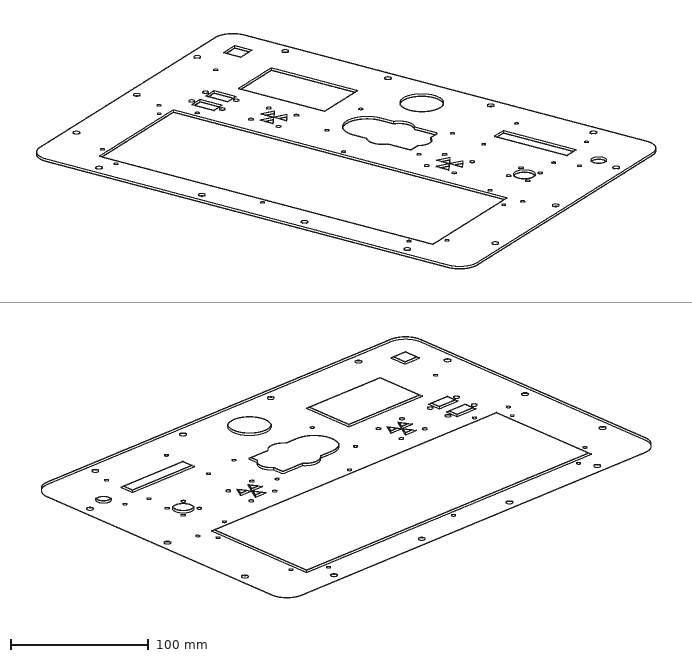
import cadquery as cq
import math

LENGTH = 378.5
WIDTH = 264.0
THICKNESS = 2.05
CORNER_RADIUS = 15.0

RIM_HOLE = 5.0
RIM_INSET = 8.0
RIM_SPAN_X = 266.7
RIM_PITCH_X = RIM_SPAN_X / 3
RIM_PITCH_Y = 80.5

WINDOW_LENGTH = 288.5
WINDOW_WIDTH = 98.7
WINDOW_Y = -57.5
WINDOW_HOLE = 2.95
WINDOW_END_HOLE = 2.85
WINDOW_HOLE_PITCH_X = 126.7
WINDOW_HOLE_OFFSET_Y = 54.0
WINDOW_END_OFFSET_X = 149.0
WINDOW_END_OFFSET_Y = 38.0

SIDE_HOLE = 2.95
SIDE_HOLE_X = 157.5
SIDE_HOLE_TOP_Y = 68.5
SIDE_HOLE_BOTTOM_Y = -7.0

SWITCH_SIZE = 14.8
SWITCH_CENTER = (-162.0, 104.8)
DISPLAY_LENGTH = 74.5
DISPLAY_WIDTH = 44.0
DISPLAY_CENTER = (-88.0, 71.5)

GAUGE_DIAMETER = 31.8
GAUGE_CENTER = (0, 100.5)
JACK_DIAMETER = 11.5
JACK_CENTER = (163.5, 84.8)

SLOT_LENGTH = 62.8
SLOT_WIDTH = 12.0
SLOT_CENTER = (108.2, 85.0)
SLOT_HOLE = 2.85
SLOT_HOLE_SPACING_X = 60.5
SLOT_HOLE_SPACING_Y = 44.0

CONNECTOR_DIAMETER = 16.0
CONNECTOR_CENTER = (132.0, 34.0)
CONNECTOR_HOLE = 3.3
CONNECTOR_HOLE_SPACING = 16.5

PORT_LENGTH = 19.0
PORT_WIDTH = 11.0
PORT_X = -128.5
PORT_TOP_Y = 31.0
PORT_PITCH = 18.5
PORT_HOLE = 4.0
PORT_HOLE_SPACING = 26.5

VENT_SIDE = 11.0
VENT_GAP = 0.08
VENT_X = 76.0
VENT_Y = 20.5
VENT_HOLE = 3.45
VENT_HOLE_SPACING = 24.0

SOCKET_Y = 43.5
SOCKET_WIDTH = 36.0
SOCKET_RADIUS = SOCKET_WIDTH / 2
SOCKET_LEFT = -28.0
SOCKET_RIGHT = 39.5
LOBE_X = 10.2
LOBE_HALF_CHORD = 9.0
LOBE_RISE = 4.5
END_LOBE_HALF_CHORD = 8.5
END_LOBE_RISE = 4.5
SOCKET_CORNER_RADIUS = 1.0
SOCKET_HOLE = 2.95
SOCKET_HOLE_CENTER = (8.7, 44.5)
SOCKET_HOLE_SPACING_X = 79.5
SOCKET_HOLE_SPACING_Y = 45.0


def grid(center, spacing_x, spacing_y):
    """Four corners of a rectangle around a center."""
    x, y = center
    return [(x + i * spacing_x / 2, y + j * spacing_y / 2) for i in (-1, 1) for j in (-1, 1)]


def round_holes(diameter, points):
    return cq.Workplane("XY").pushPoints(points).circle(diameter / 2).extrude(THICKNESS)


def rectangle(length, width, center):
    return cq.Workplane("XY").center(*center).rect(length, width).extrude(THICKNESS)


def rim_holes():
    edge_x = LENGTH / 2 - RIM_INSET
    edge_y = WIDTH / 2 - RIM_INSET
    points = [(k * RIM_PITCH_X, s * edge_y) for k in (-1.5, -0.5, 0.5, 1.5) for s in (-1, 1)]
    points += [(s * edge_x, k * RIM_PITCH_Y) for k in (-1, 0, 1) for s in (-1, 1)]
    return round_holes(RIM_HOLE, points)


def window():
    center = (0, WINDOW_Y)
    rows = (WINDOW_Y - WINDOW_HOLE_OFFSET_Y, WINDOW_Y + WINDOW_HOLE_OFFSET_Y)
    edge_points = [(k * WINDOW_HOLE_PITCH_X, y) for k in (-1, 0, 1) for y in rows]
    end_points = grid(center, 2 * WINDOW_END_OFFSET_X, 2 * WINDOW_END_OFFSET_Y)
    return (
        rectangle(WINDOW_LENGTH, WINDOW_WIDTH, center)
        .add(round_holes(WINDOW_HOLE, edge_points))
        .add(round_holes(WINDOW_END_HOLE, end_points))
    )


def side_holes():
    heights = (SIDE_HOLE_TOP_Y, SIDE_HOLE_BOTTOM_Y)
    return round_holes(SIDE_HOLE, [(s * SIDE_HOLE_X, y) for s in (-1, 1) for y in heights])


def slot():
    points = grid(SLOT_CENTER, SLOT_HOLE_SPACING_X, SLOT_HOLE_SPACING_Y)
    return rectangle(SLOT_LENGTH, SLOT_WIDTH, SLOT_CENTER).add(round_holes(SLOT_HOLE, points))


def connector():
    points = grid(CONNECTOR_CENTER, CONNECTOR_HOLE_SPACING, CONNECTOR_HOLE_SPACING)
    return round_holes(CONNECTOR_DIAMETER, [CONNECTOR_CENTER]).add(round_holes(CONNECTOR_HOLE, points))


def port(y):
    points = [(PORT_X + s * PORT_HOLE_SPACING / 2, y) for s in (-1, 1)]
    return rectangle(PORT_LENGTH, PORT_WIDTH, (PORT_X, y)).add(round_holes(PORT_HOLE, points))


def vent(x):
    """Cluster of three equilateral triangles meeting near (x, VENT_Y)."""
    height = VENT_SIDE * math.sqrt(3) / 2
    half_pitch = (VENT_SIDE + VENT_GAP) / 2
    cluster = round_holes(VENT_HOLE, grid((x, VENT_Y), VENT_HOLE_SPACING, VENT_HOLE_SPACING))
    bases = [(x - half_pitch, VENT_Y), (x + half_pitch, VENT_Y), (x, VENT_Y - height - VENT_GAP)]
    for base_x, base_y in bases:
        corners = [
            (base_x - VENT_SIDE / 2, base_y),
            (base_x + VENT_SIDE / 2, base_y),
            (base_x, base_y + height),
        ]
        cluster = cluster.add(cq.Workplane("XY").polyline(corners).close().extrude(THICKNESS))
    return cluster


def socket():
    top = SOCKET_Y + SOCKET_RADIUS
    bottom = SOCKET_Y - SOCKET_RADIUS
    arc_x = SOCKET_LEFT + SOCKET_RADIUS
    lobe_left = LOBE_X - LOBE_HALF_CHORD
    lobe_right = LOBE_X + LOBE_HALF_CHORD
    end_lobe_top = SOCKET_Y + END_LOBE_HALF_CHORD
    end_lobe_bottom = SOCKET_Y - END_LOBE_HALF_CHORD
    end_lobe_peak = SOCKET_RIGHT + END_LOBE_RISE
    opening = (
        cq.Workplane("XY")
        .moveTo(arc_x, top)
        .lineTo(lobe_left, top)
        .threePointArc((LOBE_X, top + LOBE_RISE), (lobe_right, top))
        .lineTo(SOCKET_RIGHT, top)
        .lineTo(SOCKET_RIGHT, end_lobe_top)
        .threePointArc((end_lobe_peak, SOCKET_Y), (SOCKET_RIGHT, end_lobe_bottom))
        .lineTo(SOCKET_RIGHT, bottom)
        .lineTo(lobe_right, bottom)
        .threePointArc((LOBE_X, bottom - LOBE_RISE), (lobe_left, bottom))
        .lineTo(arc_x, bottom)
        .threePointArc((SOCKET_LEFT, SOCKET_Y), (arc_x, top))
        .close()
        .extrude(THICKNESS)
    )
    corners = [(SOCKET_RIGHT, top), (SOCKET_RIGHT, bottom)]
    for x, y in corners:
        corner_edge = cq.selectors.NearestToPointSelector((x, y, THICKNESS / 2))
        opening = opening.edges(corner_edge).fillet(SOCKET_CORNER_RADIUS)
    points = grid(SOCKET_HOLE_CENTER, SOCKET_HOLE_SPACING_X, SOCKET_HOLE_SPACING_Y)
    return opening.add(round_holes(SOCKET_HOLE, points))


plate = cq.Workplane("XY").rect(LENGTH, WIDTH).extrude(THICKNESS).edges("|Z").fillet(CORNER_RADIUS)

openings = [
    rim_holes(),
    window(),
    side_holes(),
    rectangle(SWITCH_SIZE, SWITCH_SIZE, SWITCH_CENTER),
    rectangle(DISPLAY_LENGTH, DISPLAY_WIDTH, DISPLAY_CENTER),
    round_holes(GAUGE_DIAMETER, [GAUGE_CENTER]),
    round_holes(JACK_DIAMETER, [JACK_CENTER]),
    slot(),
    connector(),
    port(PORT_TOP_Y),
    port(PORT_TOP_Y - PORT_PITCH),
    vent(-VENT_X),
    vent(VENT_X),
    socket(),
]

result = plate
for opening in openings:
    for cutter in opening.vals():
        result = result.cut(cq.Workplane(cutter))